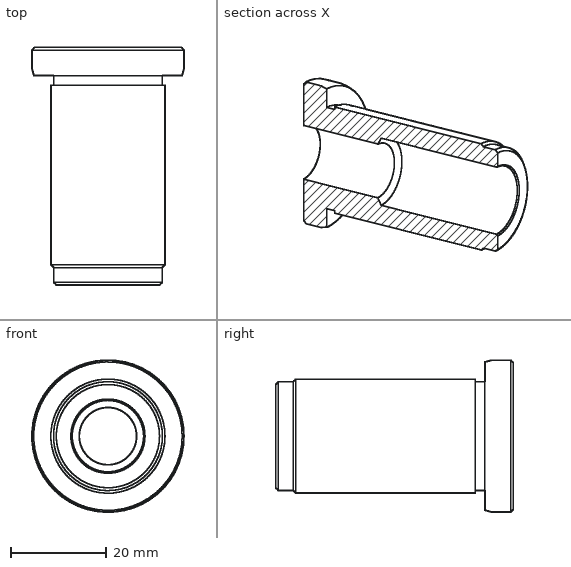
import cadquery as cq
import math

length = 50.0

head_radius = 16.0
head_thickness = 6.0
head_back_chamfer = 0.6
head_front_taper_length = 1.5
head_front_taper_depth = 0.4

body_radius = 12.0
relief_radius = 11.45
relief_width = 2.0
pilot_length = 4.25
pilot_radius = 11.45
pilot_chamfer = 0.6

guide_bore_radius = 7.5
guide_bore_depth = 30.0
guide_bore_chamfer = 0.3
through_bore_radius = 6.0
bore_cone_angle = 120.0

head_front = length - head_thickness
relief_start = head_front - relief_width
body_step = body_radius - pilot_radius

bore_cone_length = (guide_bore_radius - through_bore_radius) / math.tan(math.radians(bore_cone_angle / 2))

outer_profile = [
    (0, 0),
    (pilot_radius - pilot_chamfer, 0),
    (pilot_radius, pilot_chamfer),
    (pilot_radius, pilot_length - body_step),
    (body_radius, pilot_length),
    (body_radius, relief_start),
    (relief_radius, relief_start),
    (relief_radius, head_front),
    (head_radius - head_front_taper_depth, head_front),
    (head_radius, head_front + head_front_taper_length),
    (head_radius, length - head_back_chamfer),
    (head_radius - head_back_chamfer, length),
    (0, length),
]

bore_profile = [
    (0, 0),
    (guide_bore_radius + guide_bore_chamfer, 0),
    (guide_bore_radius, guide_bore_chamfer),
    (guide_bore_radius, guide_bore_depth),
    (through_bore_radius, guide_bore_depth + bore_cone_length),
    (through_bore_radius, length),
    (0, length),
]


def turned(profile):
    """Revolve a closed half section about the Y axis."""
    return cq.Workplane("XY").polyline(profile).close().revolve(360, (0, 0, 0), (0, 1, 0))


result = turned(outer_profile).cut(turned(bore_profile))